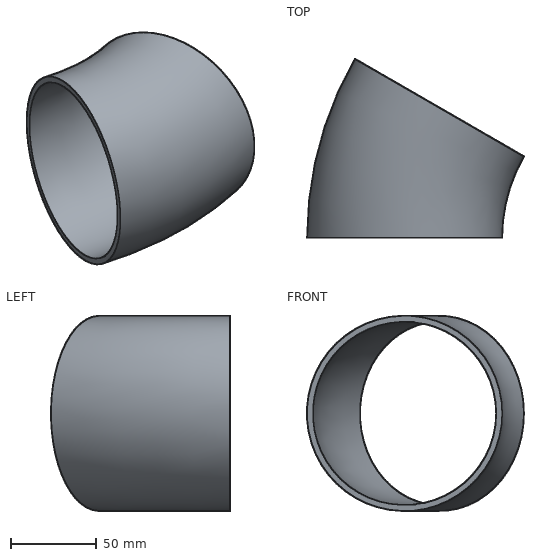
import cadquery as cq

outer_diameter = 114.3
wall_thickness = 3.6
bend_radius = 152.5
bend_angle = 30.0

outer_radius = outer_diameter / 2
inner_radius = outer_radius - wall_thickness


def make_elbow():
    """Revolve the pipe ring about the bend axis, which runs along Z at x = bend_radius."""
    ring = cq.Workplane("XZ").circle(outer_radius).circle(inner_radius)
    axis_start = (bend_radius, 0)
    axis_end = (bend_radius, -1)
    return ring.revolve(bend_angle, axis_start, axis_end)


result = make_elbow()